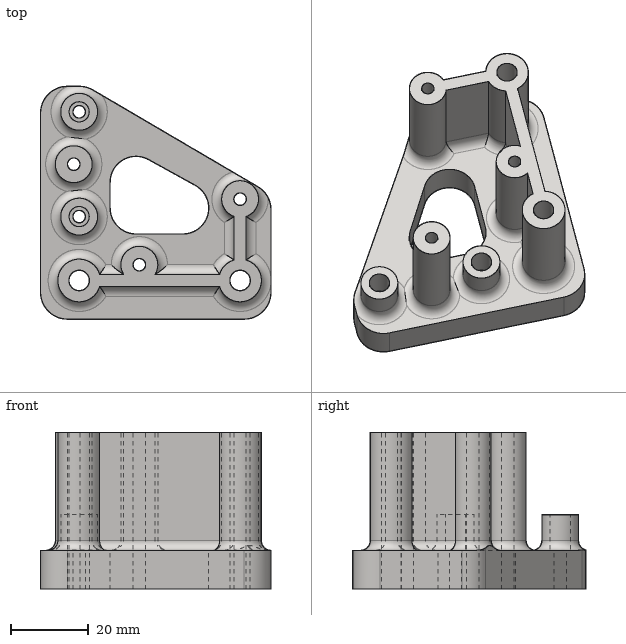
import cadquery as cq
import math

plate_length = 59.45
plate_width = 60.05
plate_height = 10.0
plate_corner_radius = 7.0
slope_start_x = 10.0
slope_end_y = 28.15

window_left = 18.0
window_right = 43.35
window_bottom = 22.0
window_top = 41.95
window_corner_radius = 6.65

total_height = 40.4
low_post_height = 19.2
wide_post_diameter = 11.0
post_diameter = 9.5
wall_thickness = 3.15
skirt_radius = 2.5
skirt_top = plate_height + skirt_radius
skirt_middle = skirt_radius * (1 - math.cos(math.radians(45)))

wide_bore_diameter = 5.2
screw_hole_diameter = 3.15
insert_diameter = 5.2
insert_bottom = plate_height

left_column_x = 10.0
right_column_x = plate_length - wide_post_diameter / 2 - skirt_radius
wall_y = 10.0
corner_post = (left_column_x, wall_y)
far_corner_post = (right_column_x, wall_y)
right_post = (right_column_x, 30.95)
wall_post = (25.5, 14.05)
low_post_pitch = 27.0
middle_post_offset = 1.4
lower_low_post = (left_column_x, 26.45)
upper_low_post = (left_column_x, lower_low_post[1] + low_post_pitch)
middle_post = (left_column_x - middle_post_offset, lower_low_post[1] + low_post_pitch / 2)

wide_posts = [corner_post, far_corner_post]
tall_posts = [right_post, wall_post, middle_post]
low_posts = [lower_low_post, upper_low_post]


def rounded_block(arc_centres, radius, height):
    """Upright block from Z = 0 whose outline rounds every given centre with the same radius."""
    return cq.Workplane("XY").polyline(arc_centres).close().offset2D(radius).extrude(height)


def post(centre, diameter, height):
    """Round post standing on the plate, widened at its foot by a concave skirt."""
    radius = diameter / 2
    foot_radius = radius + skirt_radius
    profile = (
        cq.Workplane("XZ")
        .lineTo(foot_radius, 0)
        .lineTo(foot_radius, plate_height)
        .threePointArc((radius + skirt_middle, plate_height + skirt_middle), (radius, skirt_top))
        .lineTo(radius, height)
        .lineTo(0, height)
        .close()
    )
    return profile.revolve(360, (0, 0, 0), (0, 1, 0)).translate((*centre, 0))


def wall(start, length, angle):
    """Wall running from start, widened at its foot on both sides by a concave skirt."""
    half = wall_thickness / 2
    foot = half + skirt_radius
    profile = (
        cq.Workplane("YZ")
        .moveTo(-foot, 0)
        .lineTo(foot, 0)
        .lineTo(foot, plate_height)
        .threePointArc((half + skirt_middle, plate_height + skirt_middle), (half, skirt_top))
        .lineTo(half, total_height)
        .lineTo(-half, total_height)
        .lineTo(-half, skirt_top)
        .threePointArc((-half - skirt_middle, plate_height + skirt_middle), (-foot, plate_height))
        .close()
    )
    return profile.extrude(length).rotate((0, 0, 0), (0, 0, 1), angle).translate((*start, 0))


def hole(centre, diameter, bottom):
    """Round cutter from the given height up to the top of the part."""
    return (
        cq.Workplane("XY").workplane(offset=bottom).center(*centre)
        .circle(diameter / 2).extrude(total_height - bottom)
    )


def plate_block(height):
    """Block with the outline of the plate."""
    left = plate_corner_radius
    right = plate_length - plate_corner_radius
    bottom = plate_corner_radius
    top = plate_width - plate_corner_radius
    arc_centres = [(left, bottom), (right, bottom), (right, slope_end_y), (slope_start_x, top), (left, top)]
    return rounded_block(arc_centres, plate_corner_radius, height)


def window_block():
    """Cutter for the window in the plate."""
    left = window_left + window_corner_radius
    right = window_right - window_corner_radius
    bottom = window_bottom + window_corner_radius
    top = window_top - window_corner_radius
    return rounded_block([(left, bottom), (right, bottom), (left, top)], window_corner_radius, plate_height)


body = plate_block(plate_height)

for centre in wide_posts:
    body = body.union(post(centre, wide_post_diameter, total_height))
for centre in tall_posts:
    body = body.union(post(centre, post_diameter, total_height))
for centre in low_posts:
    body = body.union(post(centre, post_diameter, low_post_height))
body = body.union(wall(corner_post, right_column_x - left_column_x, 0))
body = body.union(wall(far_corner_post, right_post[1] - wall_y, 90))

body = body.intersect(plate_block(total_height))

body = body.cut(window_block())

for centre in wide_posts:
    body = body.cut(hole(centre, wide_bore_diameter, 0))
for centre in tall_posts + low_posts:
    body = body.cut(hole(centre, screw_hole_diameter, 0))
for centre in low_posts:
    body = body.cut(hole(centre, insert_diameter, insert_bottom))

result = body